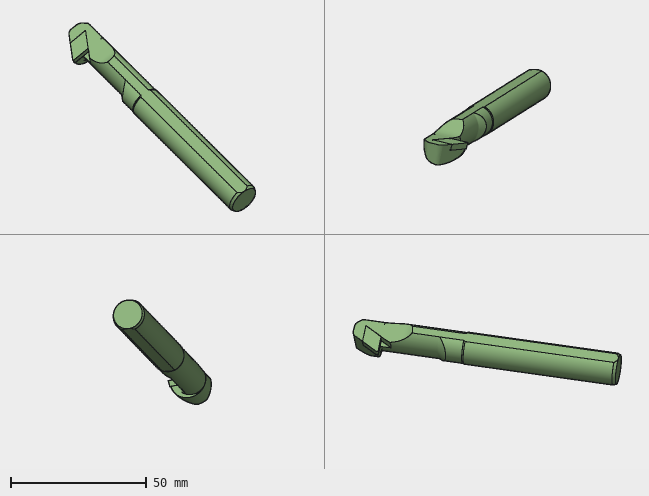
import cadquery as cq
import math

length = 100.0
shank_radius = 6.0
neck_radius = 5.8
shank_start = 42.0
step_chamfer = 0.6
end_chamfer_length = 1.2
end_chamfer_depth = 0.5
flat_height = 5.5

head_radius = 6.9
head_center_y = -1.2
head_length = 10.8
relief_angle = 6.0
rake_angle = 8.0
rake_height = 1.4

nose_flat_top = 1.7
nose_flat_bottom = -0.4
upper_arc_end = (0.6, 3.6)
lower_arc_middle = (0.2, -1.7)
lower_arc_end = (1.0, -2.8)
cutting_edge_angle = 32.5

dish_center = (-3.9, -0.4)
dish_flat_radius = 15.5
dish_corner_radius = 16.0

relief_axis_y = 4.0
relief_radius = 8.0
relief_front_fillet = 0.8
relief_rear_fillet = 1.0
relief_cone_start = 32.6
relief_cone_angle = 30.0

pocket_corner = (4.1, 2.7)
pocket_lean = 0.04
pocket_depth = 2.4
insert_back = 10.7
tip_radius = 0.4
tip_point = (11.0, -9.0, -1.0)

margin = 20.0
edge_slope = math.tan(math.radians(cutting_edge_angle))

rake_plane = cq.Plane(
    origin=(0, 0, rake_height),
    xDir=(1, 0, 0),
    normal=(0, -math.sin(math.radians(rake_angle)), math.cos(math.radians(rake_angle))),
)


def x_cylinder(radius, start, end, center_y=0.0):
    return cq.Workplane("YZ", origin=(start, center_y, 0)).circle(radius).extrude(end - start)


def make_head_prism():
    """Head outline extended past the back of the head, narrowing below the rake face."""
    far_x = head_length + margin
    far_y = upper_arc_end[1] + margin
    return (
        cq.Workplane(rake_plane)
        .moveTo(0, nose_flat_bottom)
        .lineTo(0, nose_flat_top)
        .tangentArcPoint(upper_arc_end, relative=False)
        .lineTo(upper_arc_end[0] + margin, far_y)
        .lineTo(far_x, far_y)
        .lineTo(far_x, lower_arc_end[1] - edge_slope * (far_x - lower_arc_end[0]))
        .lineTo(*lower_arc_end)
        .threePointArc(lower_arc_middle, (0, nose_flat_bottom))
        .close()
        .extrude(-margin / 2, taper=relief_angle)
    )


def make_shank():
    """Turned neck and shank with a flat along the whole top and one under the shank."""
    blank = (
        cq.Workplane("XY")
        .moveTo(head_length, 0)
        .lineTo(head_length, neck_radius)
        .lineTo(shank_start, neck_radius)
        .lineTo(shank_start + step_chamfer, shank_radius)
        .lineTo(length - end_chamfer_length, shank_radius)
        .lineTo(length, shank_radius - end_chamfer_depth)
        .lineTo(length, 0)
        .close()
        .revolve(360, (0, 0, 0), (1, 0, 0))
    )
    top_waste = cq.Workplane("XY", origin=(0, 0, flat_height)).rect(3 * length, margin).extrude(margin)
    bottom_waste = (
        cq.Workplane("XY", origin=(shank_start + length / 2, 0, -flat_height))
        .rect(length, margin)
        .extrude(-margin)
    )
    return blank.cut(top_waste).cut(bottom_waste)


def make_dish_cutter():
    """Space above the rake face, with a rim curving up towards the neck."""
    rim = dish_flat_radius + dish_corner_radius
    bend = math.sqrt(0.5) * dish_corner_radius
    plane = cq.Plane(
        origin=rake_plane.toWorldCoords(dish_center).toTuple(),
        xDir=(1, 0, 0),
        normal=(rake_plane.zDir.cross(cq.Vector(-1, 0, 0))).toTuple(),
    )
    return (
        cq.Workplane(plane)
        .lineTo(dish_flat_radius, 0)
        .threePointArc((dish_flat_radius + bend, dish_corner_radius - bend), (rim, dish_corner_radius))
        .lineTo(0, dish_corner_radius)
        .close()
        .revolve(360, (0, 0, 0), (0, 1, 0))
    )


def make_side_relief():
    """Ring around the offset axis: filleted at the head, conical towards the shank."""
    near = relief_axis_y - relief_radius
    fillet = relief_front_fillet
    bend = fillet * (1 - math.sqrt(0.5))
    outer = near - margin
    cone_angle = math.radians(relief_cone_angle)
    blend_x = relief_cone_start + relief_rear_fillet * math.sin(cone_angle)
    blend_y = near - relief_rear_fillet * (1 - math.cos(cone_angle))
    return (
        cq.Workplane("XY")
        .moveTo(head_length, outer)
        .lineTo(head_length, near - fillet)
        .threePointArc((head_length + bend, near - bend), (head_length + fillet, near))
        .lineTo(relief_cone_start, near)
        .tangentArcPoint((blend_x, blend_y), relative=False)
        .lineTo(blend_x + (blend_y - outer) / math.tan(cone_angle), outer)
        .close()
        .revolve(360, (0, relief_axis_y, 0), (1, relief_axis_y, 0))
    )


def make_pocket(end_x, headroom):
    """Insert seat open towards -Y, from its front corner back to end_x.

    The front and back walls are parallel, and headroom is the height above the rake face.
    """
    corner_x, corner_y = pocket_corner
    drift = pocket_lean * margin
    end_y = corner_y - edge_slope * (end_x - corner_x)
    return (
        cq.Workplane(rake_plane)
        .workplane(offset=-pocket_depth)
        .polyline([
            pocket_corner,
            (end_x, end_y),
            (end_x + drift, end_y - margin),
            (corner_x + drift, corner_y - margin),
        ])
        .close()
        .extrude(pocket_depth + headroom)
    )


head_prism = make_head_prism()

head = x_cylinder(head_radius, 0, head_length, head_center_y).intersect(head_prism)
neck_and_shank = make_shank().cut(make_side_relief())
holder = (
    neck_and_shank.union(head)
    .cut(make_dish_cutter())
    .cut(make_pocket(head_length + margin, margin))
)

insert = head_prism.intersect(make_pocket(insert_back, 0))
tip = insert.edges(cq.selectors.NearestToPointSelector(tip_point))
insert = tip.fillet(tip_radius)

result = cq.Compound.makeCompound([holder.solids().val(), insert.solids().val()])